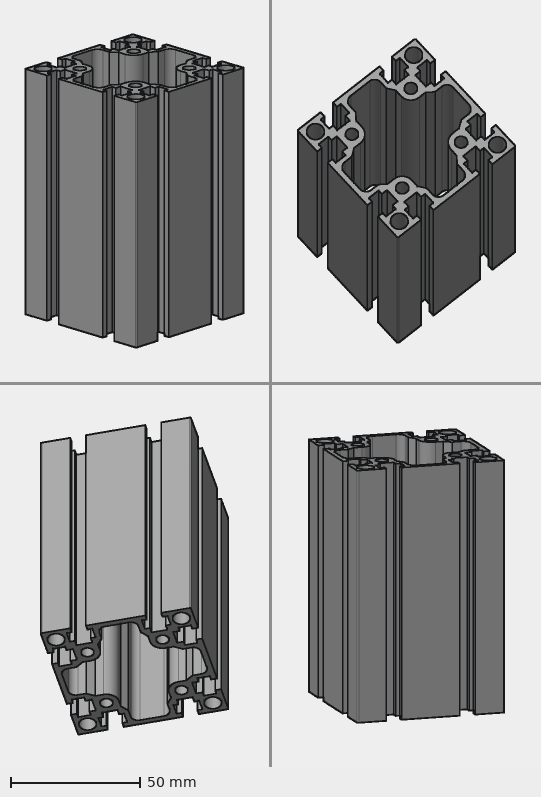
import cadquery as cq

side = 60.0
length = 100.0
half_side = side / 2
outer_edge_radius = 0.5

slot_offset = 15.0
slot_opening = 6.3
slot_channel_width = 10.3
lip_thickness = 2.4
channel_floor_depth = 7.4
slot_depth = 10.0

corner_bore_diameter = 6.8
corner_bore_inset = 5.0
screw_bore_diameter = 5.0

wall_thickness = 2.3
arm_half_width = 7.8
arm_corner_radius = 3.0
boss_radius = 5.0
flare_outer_end = 21.2
flare_inner_end = 18.2


def box_in_back_face(width, depth_from, depth_to, x_centre):
    """Full-length cutting box between two depths below the +Y face."""
    return (
        cq.Workplane("XY")
        .center(x_centre, half_side - (depth_from + depth_to) / 2)
        .rect(width, depth_to - depth_from)
        .extrude(length)
    )


def t_slot(x_centre):
    """T-slot to cut from the +Y face: narrow mouth, wide channel, narrow floor groove."""
    mouth_and_groove = box_in_back_face(slot_opening, 0, slot_depth, x_centre)
    channel = box_in_back_face(slot_channel_width, lip_thickness, channel_floor_depth, x_centre)
    return mouth_and_groove.union(channel)


def square_bores(diameter, offset):
    """Four full-length bores at the corners of a centred square."""
    return (
        cq.Workplane("XY")
        .rect(2 * offset, 2 * offset, forConstruction=True)
        .vertices()
        .circle(diameter / 2)
        .extrude(length)
    )


def central_cavity():
    """Full-length cavity: two crossed arms and a wider middle around the bosses."""
    arm_length = side - 2 * wall_thickness
    arm = (
        cq.Workplane("XY")
        .rect(2 * arm_half_width, arm_length)
        .extrude(length)
        .edges("|Z")
        .fillet(arm_corner_radius)
    )
    boss_face = slot_offset - boss_radius
    flared_middle = (
        cq.Workplane("XY")
        .polyline([
            (arm_half_width, flare_outer_end),
            (boss_face, flare_inner_end),
            (boss_face, -flare_inner_end),
            (arm_half_width, -flare_outer_end),
            (-arm_half_width, -flare_outer_end),
            (-boss_face, -flare_inner_end),
            (-boss_face, flare_inner_end),
            (-arm_half_width, flare_outer_end),
        ])
        .close()
        .extrude(length)
    )
    straight_cavity = arm.union(flared_middle)
    cross = straight_cavity.union(straight_cavity.rotate((0, 0, 0), (0, 0, 1), 90))
    boss_centre_square = cq.Workplane("XY").rect(2 * slot_offset, 2 * slot_offset).extrude(length)
    return cross.union(boss_centre_square.cut(square_bores(2 * boss_radius, slot_offset)))


result = cq.Workplane("XY").rect(side, side).extrude(length)
result = result.edges("|Z").fillet(outer_edge_radius)
slot_pair = t_slot(slot_offset).union(t_slot(-slot_offset))
for quarter in range(4):
    result = result.cut(slot_pair.rotate((0, 0, 0), (0, 0, 1), 90 * quarter))
result = result.cut(central_cavity())
result = result.cut(square_bores(corner_bore_diameter, half_side - corner_bore_inset))
result = result.cut(square_bores(screw_bore_diameter, slot_offset))